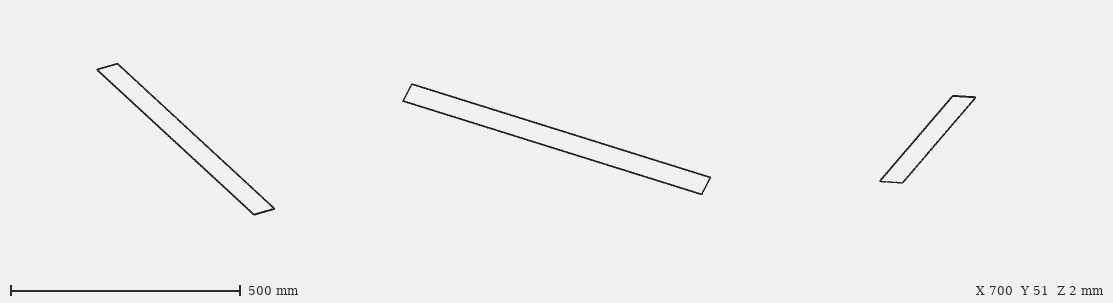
import cadquery as cq

length = 700.0
width = 51.0
thickness = 2.0

result = cq.Workplane("XY").box(length, width, thickness)